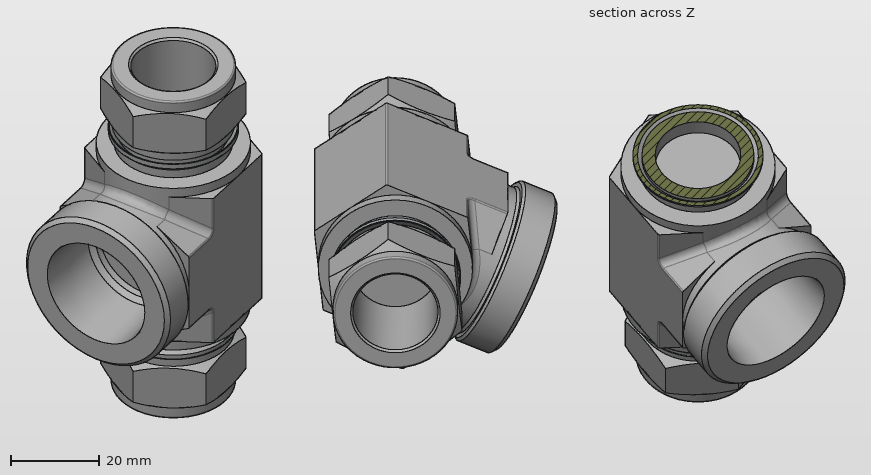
import cadquery as cq
import math

body_flats = 34.9
body_hex_half_length = 20.4
body_half_length = 22.9
corner_radius = 0.5
joint_fillet = 2.0

total_depth = 51.87
branch_hex_length = 20.0
neck_end = 22.2
flange_start = 22.9
neck_flare = 0.4
flange_diameter = 39.0
flange_back_chamfer = 0.6
flange_front_chamfer = 1.0
branch_mouth_diameter = 26.4
branch_taper_end_diameter = 25.4
branch_taper_depth = 16.0
branch_floor_diameter = 23.0
branch_bore_depth = 19.0

half_height = 44.87
end_neck_diameter = 26.9
ring_diameter = 29.5
ring_rim_inner_diameter = 29.0
ring_start = 26.4
ring_end = 27.65
groove_diameter = 25.4
groove_end = 28.2
skirt_diameter = 27.8
nut_flats = 28.6
nut_start = 30.2
nut_end = 41.85
nut_chamfer_angle = 30.0
collar_diameter = 28.2
collar_fillet = 0.4
tube_bore_diameter = 19.25
tube_bore_depth = 22.0
tube_mouth_chamfer = 0.5

hex_face_angle = math.radians(30)
hex_sides = 6
match_tolerance = 1e-3

body_radius = body_flats / 2
body_corner = body_flats / math.sqrt(3)
corner_loss = corner_radius * (2 / math.sqrt(3) - 1)
branch_end = total_depth - (body_corner - corner_loss)


def bar_profile(plane, upper_corner_is_sharp):
    """Hexagon with flats at +-X; the lower corner, and optionally the upper one, is an arc."""
    tangent_x = body_radius * math.sin(hex_face_angle)
    tangent_y = body_radius * math.cos(hex_face_angle)
    profile = (
        cq.Workplane(plane)
        .moveTo(tangent_x, tangent_y)
        .lineTo(body_radius, body_corner / 2)
        .lineTo(body_radius, -body_corner / 2)
        .lineTo(tangent_x, -tangent_y)
        .threePointArc((0, -body_radius), (-tangent_x, -tangent_y))
        .lineTo(-body_radius, -body_corner / 2)
        .lineTo(-body_radius, body_corner / 2)
    )
    if upper_corner_is_sharp:
        return profile.lineTo(0, body_corner).close()
    return (
        profile.lineTo(-tangent_x, tangent_y)
        .threePointArc((0, body_radius), (tangent_x, tangent_y))
        .close()
    )


def is_joint_edge(edge):
    """The bars meet along the diagonal planes y = -|z|."""
    center = edge.Center()
    return center.y < 0 and math.isclose(-center.y, abs(center.z), abs_tol=match_tolerance)


def is_hex_corner_edge(edge):
    """Edges along the sharp hexagon corners, including the bends at the joint."""
    center = edge.Center()
    box = edge.BoundingBox()
    in_flat = box.xlen < match_tolerance
    on_side = in_flat and math.isclose(abs(center.x), body_radius, abs_tol=match_tolerance)
    on_back = math.isclose(center.y, body_corner, abs_tol=match_tolerance)
    in_bars = abs(center.z) < body_hex_half_length - match_tolerance
    along_corner = not math.isclose(center.y, -branch_hex_length, abs_tol=match_tolerance)
    return (on_side or on_back) and in_bars and along_corner


def make_body():
    """Tee of two filleted bars, with round shoulders above and below."""
    bar = bar_profile("XY", True).extrude(body_hex_half_length, both=True)
    branch = bar_profile("XZ", False).extrude(branch_hex_length)
    body = bar.union(branch)
    joint_edges = [edge for edge in body.edges().vals() if is_joint_edge(edge)]
    body = body.newObject(joint_edges).fillet(joint_fillet)
    corner_edges = [edge for edge in body.edges().vals() if is_hex_corner_edge(edge)]
    body = body.newObject(corner_edges).fillet(corner_radius)
    shoulders = cq.Workplane("XY").circle(body_radius).extrude(body_half_length, both=True)
    return body.union(shoulders)


def make_flange():
    """Round neck and chamfered flange at the end of the branch."""
    flange_radius = flange_diameter / 2
    return (
        cq.Workplane("XY")
        .moveTo(0, 0)
        .lineTo(body_radius, 0)
        .lineTo(body_radius, -neck_end)
        .lineTo(body_radius + neck_flare, -flange_start)
        .lineTo(flange_radius - flange_back_chamfer, -flange_start)
        .lineTo(flange_radius, -flange_start - flange_back_chamfer)
        .lineTo(flange_radius, -branch_end + flange_front_chamfer)
        .lineTo(flange_radius - flange_front_chamfer, -branch_end)
        .lineTo(0, -branch_end)
        .close()
        .revolve(360, (0, 0, 0), (0, 1, 0))
    )


def make_branch_bore():
    """Tapered bore narrowing through a 45 degree cone to a blind cylindrical bottom."""
    taper_end_radius = branch_taper_end_diameter / 2
    floor_radius = branch_floor_diameter / 2
    taper_end = -branch_end + branch_taper_depth
    floor = -branch_end + branch_bore_depth
    return (
        cq.Workplane("XY")
        .moveTo(0, -branch_end)
        .lineTo(branch_mouth_diameter / 2, -branch_end)
        .lineTo(taper_end_radius, taper_end)
        .lineTo(floor_radius, taper_end + taper_end_radius - floor_radius)
        .lineTo(floor_radius, floor)
        .lineTo(0, floor)
        .close()
        .revolve(360, (0, 0, 0), (0, 1, 0))
    )


def make_nut():
    """Hexagonal nut with corners at +-Y, chamfered conically at both ends."""
    nut_corner = nut_flats / math.sqrt(3)
    slope = math.tan(math.radians(nut_chamfer_angle))
    lower_drop = (nut_corner - skirt_diameter / 2) * slope
    upper_drop = (nut_corner - collar_diameter / 2) * slope
    hexagon = (
        cq.Workplane("XY", origin=(0, 0, nut_start))
        .transformed(rotate=(0, 0, 90))
        .polygon(hex_sides, 2 * nut_corner)
        .extrude(nut_end - nut_start)
    )
    envelope = (
        cq.Workplane("XZ")
        .moveTo(0, nut_start)
        .lineTo(skirt_diameter / 2, nut_start)
        .lineTo(nut_corner, nut_start + lower_drop)
        .lineTo(nut_corner, nut_end - upper_drop)
        .lineTo(collar_diameter / 2, nut_end)
        .lineTo(0, nut_end)
        .close()
        .revolve(360, (0, 0, 0), (0, 1, 0))
    )
    return hexagon.intersect(envelope)


def make_turned_end():
    """Neck, dished locking ring, groove, skirt and collar of the upper tube end.

    The bevel under the ring and the dish inside its rim are both 45 degree cones.
    """
    ring_bevel = (ring_diameter - end_neck_diameter) / 2
    dish_depth = (ring_rim_inner_diameter - groove_diameter) / 2
    turned = (
        cq.Workplane("XZ")
        .moveTo(0, 0)
        .lineTo(end_neck_diameter / 2, 0)
        .lineTo(end_neck_diameter / 2, ring_start - ring_bevel)
        .lineTo(ring_diameter / 2, ring_start)
        .lineTo(ring_diameter / 2, ring_end)
        .lineTo(ring_rim_inner_diameter / 2, ring_end)
        .lineTo(groove_diameter / 2, ring_end - dish_depth)
        .lineTo(groove_diameter / 2, groove_end)
        .lineTo(skirt_diameter / 2, groove_end)
        .lineTo(skirt_diameter / 2, nut_start)
        .lineTo(0, nut_start)
        .close()
        .revolve(360, (0, 0, 0), (0, 1, 0))
    )
    collar = (
        cq.Workplane("XY", origin=(0, 0, nut_end))
        .circle(collar_diameter / 2)
        .extrude(half_height - nut_end)
        .faces(">Z")
        .edges()
        .fillet(collar_fillet)
    )
    return turned.union(collar)


def make_tube_bore():
    """Blind tube socket with a chamfered mouth."""
    bore_radius = tube_bore_diameter / 2
    floor_height = half_height - tube_bore_depth
    return (
        cq.Workplane("XZ")
        .moveTo(0, floor_height)
        .lineTo(bore_radius, floor_height)
        .lineTo(bore_radius, half_height - tube_mouth_chamfer)
        .lineTo(bore_radius + tube_mouth_chamfer, half_height)
        .lineTo(0, half_height)
        .close()
        .revolve(360, (0, 0, 0), (0, 1, 0))
    )


def make_tube_end():
    """Complete upper tube fitting."""
    return make_turned_end().union(make_nut()).cut(make_tube_bore())


upper_end = make_tube_end()
lower_end = upper_end.mirror("XY")
result = make_body().union(make_flange()).union(upper_end).union(lower_end)
result = result.cut(make_branch_bore())